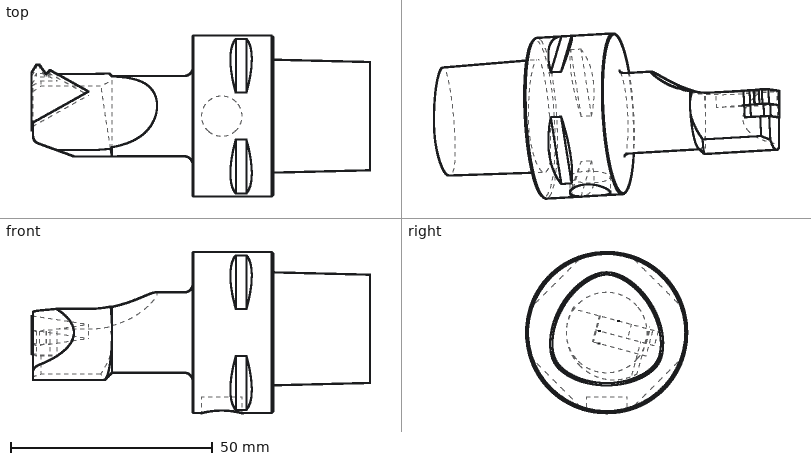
import cadquery as cq
import math

TOTAL_LENGTH = 84.0

FLANGE_RADIUS = 20.0
FLANGE_FRONT = 40.0
FLANGE_BACK = 60.0
FRONT_CHAMFER = 0.25
BACK_CHAMFER = 0.5
NECK_RADIUS = FLANGE_RADIUS / 2
NECK_FILLET = 2.0

SHANK_START_RADIUS = 14.0
SHANK_END_RADIUS = 13.4
LOBE_HEIGHT = 0.9
LOBES = 3
SHANK_POINTS = 36

GROOVE_X = 52.0
GROOVE_COUNT = 4
GROOVE_FLOOR_DISTANCE = 17.6
GROOVE_FLOOR_WIDTH = 2.6
GROOVE_FLANK_ANGLE = 30.0
GROOVE_OVERSHOOT = 0.8

POCKET_X = 47.2
POCKET_DIAMETER = 10.0
POCKET_DEPTH = 4.0

HEAD_FRONT = 0.4
HEAD_BACK = 20.0
HEAD_RADIUS = 11.8
HEAD_OFFSET = HEAD_RADIUS - NECK_RADIUS
CORNER_Y = -6.3
CORNER_ANGLE = 20.0
CORNER_RADIUS = 2.0

SEAT_TILT = 15.0
RAKE_HEIGHT = 3.5
INSERT_THICKNESS = 3.6
PAD_THICKNESS = 3.0
INSERT_BOTTOM = RAKE_HEIGHT - INSERT_THICKNESS
PAD_BOTTOM = INSERT_BOTTOM - PAD_THICKNESS

WALL_POSITION = 9.9
WALL_FRONT_POSITION = 8.7
WALL_CORNER_ANGLE = 30.0

CLEARANCE_END_X = 16.5
CLEARANCE_FLAT_RADIUS = 21.8
CLEARANCE_RIM_RADIUS = 20.0
CLEARANCE_HEIGHT = 9.7

APEX_X = 14.2
APEX_V = 5.4
TOOTH_TIP_V = 12.3
TOOTH_TIP_START = 1.3
TOOTH_TIP_END = 2.0
TOOTH_ROOT_V = 10.2
NOTCH_X = 3.7
NOTCH_V = 9.8
CREST_X = 4.6
PAD_SIDE_V = 10.9

FAR = 50.4

triangle_slope = math.tan(math.radians(30.0))
triangle_corner_v = APEX_V - APEX_X * triangle_slope
crest_v = APEX_V + (APEX_X - CREST_X) * triangle_slope


def seat_plane(height):
    """Plane parallel to the rake face at a height above the tool axis."""
    tilt = math.radians(SEAT_TILT)
    normal = (0, math.sin(tilt), math.cos(tilt))
    origin = (0, height * normal[1], height * normal[2])
    return cq.Plane(origin=origin, xDir=(1, 0, 0), normal=normal)


def make_flange_and_neck():
    neck_end = FLANGE_FRONT - NECK_FILLET
    fillet_middle = NECK_FILLET * math.sqrt(0.5)
    return (
        cq.Workplane("XY")
        .moveTo(HEAD_BACK, 0)
        .lineTo(HEAD_BACK, NECK_RADIUS)
        .lineTo(neck_end, NECK_RADIUS)
        .threePointArc(
            (neck_end + fillet_middle, NECK_RADIUS + NECK_FILLET - fillet_middle),
            (FLANGE_FRONT, NECK_RADIUS + NECK_FILLET),
        )
        .lineTo(FLANGE_FRONT, FLANGE_RADIUS - FRONT_CHAMFER)
        .lineTo(FLANGE_FRONT + FRONT_CHAMFER, FLANGE_RADIUS)
        .lineTo(FLANGE_BACK - BACK_CHAMFER, FLANGE_RADIUS)
        .lineTo(FLANGE_BACK, FLANGE_RADIUS - BACK_CHAMFER)
        .lineTo(FLANGE_BACK, 0)
        .close()
        .revolve(360, (0, 0, 0), (1, 0, 0))
    )


def lobe_outline(mean_radius):
    """Closed outline whose tangent distance varies by a cosine, as (y, z) points."""
    points = []
    for i in range(SHANK_POINTS):
        angle = 2 * math.pi * i / SHANK_POINTS
        distance = mean_radius + LOBE_HEIGHT * math.cos(LOBES * angle)
        shift = -LOBES * LOBE_HEIGHT * math.sin(LOBES * angle)
        y = distance * math.sin(angle) + shift * math.cos(angle)
        z = distance * math.cos(angle) - shift * math.sin(angle)
        points.append((y, z))
    return points


def make_shank():
    return (
        cq.Workplane("YZ", origin=(FLANGE_BACK, 0, 0))
        .spline(lobe_outline(SHANK_START_RADIUS), periodic=True)
        .close()
        .workplane(offset=TOTAL_LENGTH - FLANGE_BACK)
        .spline(lobe_outline(SHANK_END_RADIUS), periodic=True)
        .close()
        .loft(ruled=True)
    )


def make_gripper_groove(angle):
    half_floor = GROOVE_FLOOR_WIDTH / 2
    height = FLANGE_RADIUS - GROOVE_FLOOR_DISTANCE + GROOVE_OVERSHOOT
    half_top = half_floor + height * math.tan(math.radians(GROOVE_FLANK_ANGLE))
    top = GROOVE_FLOOR_DISTANCE + height
    return (
        cq.Workplane("XZ")
        .polyline([
            (GROOVE_X - half_floor, GROOVE_FLOOR_DISTANCE),
            (GROOVE_X + half_floor, GROOVE_FLOOR_DISTANCE),
            (GROOVE_X + half_top, top),
            (GROOVE_X - half_top, top),
        ])
        .close()
        .extrude(FLANGE_RADIUS, both=True)
        .rotate((0, 0, 0), (1, 0, 0), angle)
    )


def make_flange_pocket():
    return (
        cq.Workplane("XY", origin=(POCKET_X, 0, -FLANGE_RADIUS))
        .circle(POCKET_DIAMETER / 2)
        .extrude(POCKET_DEPTH)
    )


def make_head_blank():
    """Offset cylinder, its back end bevelled at 45 degrees down to the neck."""
    length = HEAD_BACK - HEAD_FRONT
    cylinder = (
        cq.Workplane("YZ", origin=(HEAD_FRONT, 0, 0))
        .center(HEAD_OFFSET, 0)
        .circle(HEAD_RADIUS)
        .extrude(length)
    )
    bevel = (
        cq.Workplane("XY")
        .polyline([
            (HEAD_FRONT, 0),
            (HEAD_FRONT, NECK_RADIUS + length),
            (HEAD_BACK, NECK_RADIUS),
            (HEAD_BACK, 0),
        ])
        .close()
        .revolve(360, (0, 0, 0), (1, 0, 0))
    )
    return cylinder.intersect(bevel)


def make_head_envelope():
    """Vertical block with the rounded, slanted front corner on the -Y side."""
    slant_end_y = CORNER_Y - (HEAD_BACK - HEAD_FRONT) * math.tan(math.radians(CORNER_ANGLE))
    return (
        cq.Workplane("XY", origin=(0, 0, -FAR / 2))
        .polyline([
            (HEAD_FRONT, CORNER_Y),
            (HEAD_BACK, slant_end_y),
            (HEAD_BACK, FAR),
            (HEAD_FRONT, FAR),
        ])
        .close()
        .extrude(FAR)
        .edges(cq.selectors.NearestToPointSelector((HEAD_FRONT, CORNER_Y, 0)))
        .fillet(CORNER_RADIUS)
    )


def make_wall_cut():
    """Material beyond the tilted side wall and its bevelled front corner."""
    run = (WALL_POSITION - WALL_FRONT_POSITION) / math.tan(math.radians(WALL_CORNER_ANGLE))
    return (
        cq.Workplane(seat_plane(-FAR / 2))
        .polyline([
            (HEAD_FRONT, WALL_FRONT_POSITION),
            (HEAD_FRONT + run, WALL_POSITION),
            (HEAD_BACK, WALL_POSITION),
            (HEAD_BACK, FAR),
            (HEAD_FRONT, FAR),
        ])
        .close()
        .extrude(FAR)
    )


def make_head():
    return make_head_blank().intersect(make_head_envelope()).cut(make_wall_cut())


def make_chip_clearance():
    rake = seat_plane(RAKE_HEIGHT)
    axis_x = CLEARANCE_END_X - CLEARANCE_FLAT_RADIUS
    profile_plane = cq.Plane(
        origin=rake.toWorldCoords((axis_x, 0, 0)).toTuple(),
        xDir=(1, 0, 0),
        normal=(rake.yDir * -1).toTuple(),
    )

    def rim_point(height):
        reach = math.sqrt(CLEARANCE_RIM_RADIUS**2 - (CLEARANCE_RIM_RADIUS - height) ** 2)
        return (CLEARANCE_FLAT_RADIUS + reach, height)

    return (
        cq.Workplane(profile_plane)
        .lineTo(CLEARANCE_FLAT_RADIUS, 0)
        .threePointArc(rim_point(CLEARANCE_HEIGHT / 4), rim_point(CLEARANCE_HEIGHT))
        .lineTo(0, CLEARANCE_HEIGHT)
        .close()
        .revolve(360, (0, 0, 0), (0, 1, 0))
    )


def make_insert():
    return (
        cq.Workplane(seat_plane(INSERT_BOTTOM))
        .polyline([
            (0, triangle_corner_v),
            (APEX_X, APEX_V),
            (CREST_X, crest_v),
            (NOTCH_X, NOTCH_V),
            (TOOTH_TIP_END, TOOTH_TIP_V),
            (TOOTH_TIP_START, TOOTH_TIP_V),
            (0, TOOTH_ROOT_V),
        ])
        .close()
        .extrude(INSERT_THICKNESS)
    )


def make_seat_pad():
    """Support under the insert, part of the holder."""
    side_x = APEX_X - (PAD_SIDE_V - APEX_V) / triangle_slope
    return (
        cq.Workplane(seat_plane(PAD_BOTTOM))
        .polyline([
            (0, triangle_corner_v),
            (APEX_X, APEX_V),
            (side_x, PAD_SIDE_V),
            (TOOTH_TIP_START, PAD_SIDE_V),
            (0, WALL_FRONT_POSITION),
        ])
        .close()
        .extrude(PAD_THICKNESS)
    )


def make_holder(insert):
    holder = make_flange_and_neck().union(make_shank()).union(make_head())
    holder = holder.cut(make_chip_clearance())
    for i in range(GROOVE_COUNT):
        angle = (i + 0.5) * 360 / GROOVE_COUNT
        holder = holder.cut(make_gripper_groove(angle))
    holder = holder.cut(make_flange_pocket())
    return holder.union(make_seat_pad()).cut(insert)


insert = make_insert()
holder = make_holder(insert)

result = cq.Compound.makeCompound([holder.val(), insert.val()])